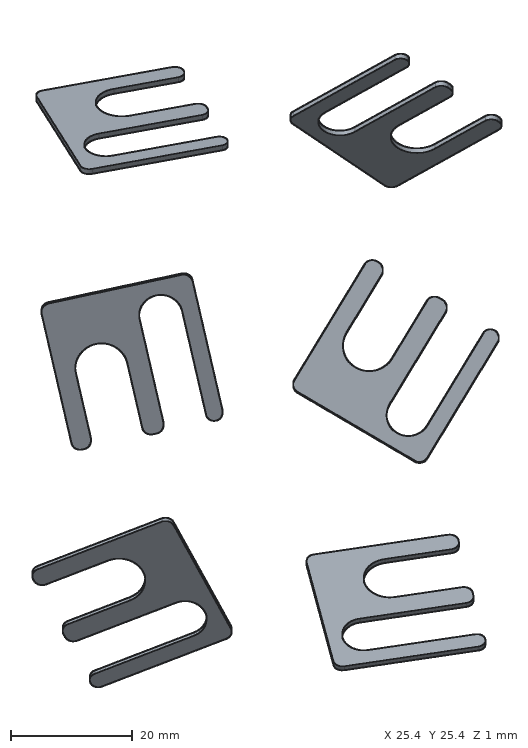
import cadquery as cq

side = 25.4
thickness = 1.0
corner_radius = 1.5

left_finger_width = 3.3
wide_slot_width = 8.6
middle_finger_width = 3.6
narrow_slot_width = 7.1
right_finger_width = side - left_finger_width - wide_slot_width - middle_finger_width - narrow_slot_width

wide_slot_floor = 8.4
narrow_slot_floor = 2.5

tip_flat = 0.02
right_tip_radius = (right_finger_width - tip_flat) / 2

selection_margin = 0.02

wide_slot_left = -side / 2 + left_finger_width
narrow_slot_left = wide_slot_left + wide_slot_width + middle_finger_width
right_finger_left = narrow_slot_left + narrow_slot_width


def open_slot(left, width, floor):
    """Through slot open at the +Y edge, with a half-round closed end."""
    radius = width / 2
    bottom = -side / 2 + floor
    return (
        cq.Workplane("XY")
        .moveTo(left, side / 2)
        .lineTo(left, bottom + radius)
        .threePointArc((left + radius, bottom), (left + width, bottom + radius))
        .lineTo(left + width, side / 2)
        .close()
        .extrude(thickness)
    )


def tip_edges(body, x_min, x_max):
    """Vertical edges at the +Y end of the fingers lying between x_min and x_max."""
    box = cq.selectors.BoxSelector(
        (x_min - selection_margin, side / 2 - selection_margin, -selection_margin),
        (x_max + selection_margin, side / 2 + selection_margin, thickness + selection_margin),
    )
    return body.edges("|Z").edges(box)


plate = cq.Workplane("XY").rect(side, side).extrude(thickness)
plate = plate.cut(open_slot(wide_slot_left, wide_slot_width, wide_slot_floor))
plate = plate.cut(open_slot(narrow_slot_left, narrow_slot_width, narrow_slot_floor))

plate = tip_edges(plate, -side / 2, narrow_slot_left).fillet(corner_radius)
plate = tip_edges(plate, right_finger_left, side / 2).fillet(right_tip_radius)

result = plate.faces("<Y").edges("|Z").fillet(corner_radius)